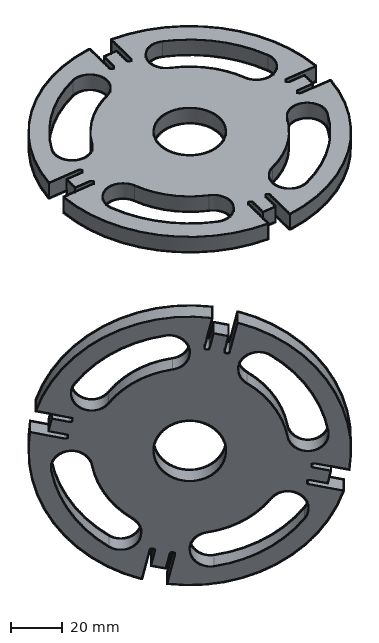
import cadquery as cq
import math

span = 124.6
thickness = 8.0
bore_diameter = 28.0

notch_width = 10.0
relief_width = 2.0
tab_width = notch_width - 2 * relief_width
tab_tip_radius = 55.5
relief_bottom_radius = 47.5
disc_radius = math.hypot(span / 2, notch_width / 2)

window_width = 16.0
window_mid_radius = 46.5
window_sweep = 45.0

quarter_count = 4
quarter_angle = 360 / quarter_count


def polar(radius, angle):
    """Point at the given radius and angle in degrees."""
    return radius * math.cos(math.radians(angle)), radius * math.sin(math.radians(angle))


def curved_window():
    """Arc-shaped opening with round ends, centred between the +X and +Y tabs."""
    middle = quarter_angle / 2
    start = middle - window_sweep / 2
    end = middle + window_sweep / 2
    inner = window_mid_radius - window_width / 2
    outer = window_mid_radius + window_width / 2
    start_x, start_y = polar(window_mid_radius, start)
    start_dx, start_dy = polar(window_width / 2, start - 90)
    end_x, end_y = polar(window_mid_radius, end)
    end_dx, end_dy = polar(window_width / 2, end + 90)
    return (
        cq.Workplane("XY")
        .moveTo(*polar(outer, start))
        .threePointArc(polar(outer, middle), polar(outer, end))
        .threePointArc((end_x + end_dx, end_y + end_dy), polar(inner, end))
        .threePointArc(polar(inner, middle), polar(inner, start))
        .threePointArc((start_x + start_dx, start_y + start_dy), polar(outer, start))
        .close()
        .extrude(thickness)
    )


def tab_notch():
    """Edge notch on +X with a round-bottomed relief slot on each side of the tab."""
    notch = (
        cq.Workplane("XY")
        .center((tab_tip_radius + disc_radius) / 2, 0)
        .rect(disc_radius - tab_tip_radius, notch_width)
        .extrude(thickness)
    )
    slot_end = (tab_tip_radius + disc_radius) / 2
    slot_offset = (tab_width + relief_width) / 2
    reliefs = (
        cq.Workplane("XY")
        .center((relief_bottom_radius + slot_end) / 2, 0)
        .pushPoints([(0, -slot_offset), (0, slot_offset)])
        .slot2D(slot_end - relief_bottom_radius, relief_width)
        .extrude(thickness)
    )
    return notch.union(reliefs)


result = cq.Workplane("XY").circle(disc_radius).circle(bore_diameter / 2).extrude(thickness)

quarter_cutter = curved_window().union(tab_notch())
for index in range(quarter_count):
    result = result.cut(quarter_cutter.rotate((0, 0, 0), (0, 0, 1), index * quarter_angle))